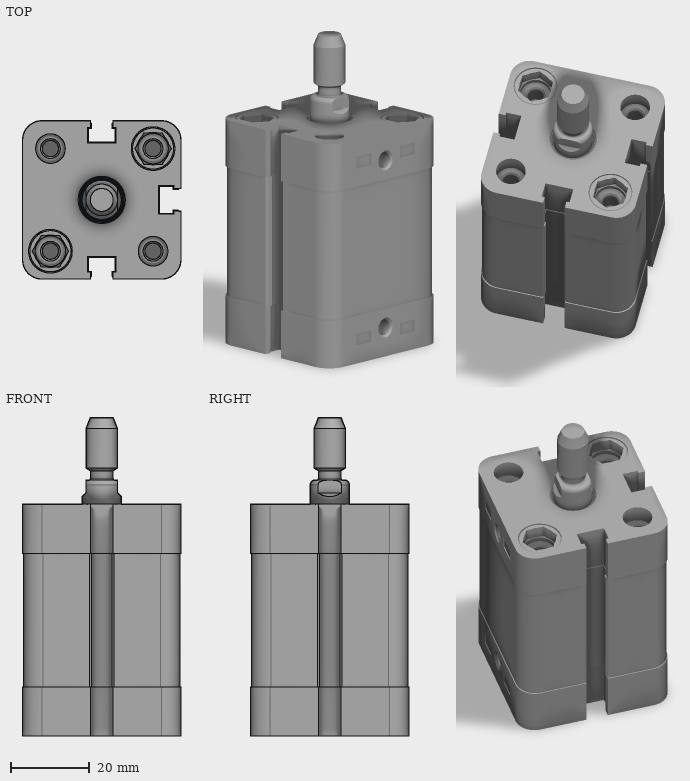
import cadquery as cq
import math


CAP_WIDTH = 40.3
BARREL_INSET = 0.25
CORNER_RADIUS = 5.0
TOTAL_HEIGHT = 81.0
HOUSING_HEIGHT = 59.0
CAP_HEIGHT = 12.5
BARREL_HEIGHT = HOUSING_HEIGHT - 2 * CAP_HEIGHT
BEARING_CAP_BASE = HOUSING_HEIGHT - CAP_HEIGHT

SLOT_MOUTH = 5.7
SLOT_WIDTH = 7.3
SLOT_DEPTH = 5.75
SLOT_LIP = 1.8
BARREL_LIP_CHAMFER = 0.6
SLOT_ANGLES = (0, 90, -90)

PORT_DIAMETER = 4.1
PORT_RIM_DIAMETER = 5.2
PORT_DEPTH = 8.1
PORT_END_DISTANCE = 7.5
LABEL_LENGTH = 5.2
LABEL_HEIGHT = 3.1
LABEL_DEPTH = 0.25
LABEL_OFFSET = 7.85
LABEL_END_DISTANCE = 6.2

MOUNT_OFFSET = 13.05
MOUNT_BORE_DEPTH = 4.45
PLAIN_BORE_DIAMETER = 7.5
THREAD_DIAMETER = 4.1
THREAD_RIM_DIAMETER = 5.0
THREAD_DEPTH = 5.3

SOCKET_FLATS = 8.0
SOCKET_BORE_DIAMETER = 7.8
SOCKET_RELIEF_DIAMETER = 8.3
SOCKET_DEPTH = 3.2
GROOVE_DIAMETER = 11.1
COLLAR_TOP_DIAMETER = 10.45
COLLAR_RECESS = 0.1
GROOVE_DEPTH = 0.4

OPENING_RIM_DIAMETER = 12.0
OPENING_DIAMETER = 11.4
SEAL_RIM_DIAMETER = 10.9
SEAL_DIAMETER = 10.45
OPENING_RIM_DEPTH = 0.3
OPENING_DEPTH = 0.5
SEAL_DEPTH = 1.0

ROD_DIAMETER = 10.0
ROD_SHOULDER_HEIGHT = 6.15
SHOULDER_FILLET = 1.2
FLATS_WIDTH = 8.0
FLATS_HEIGHT = 2.9
NECK_DIAMETER = 5.8
NECK_FILLET = 0.3
ROD_THREAD_DIAMETER = 8.0
ROD_THREAD_LENGTH = 12.8
THREAD_RUNOUT = 0.7
TIP_DIAMETER = 5.8
TIP_HEIGHT = 2.75


def cylinder(diameter, bottom, top):
    return cq.Workplane("XY").workplane(offset=bottom).circle(diameter / 2).extrude(top - bottom)


def cone(bottom_diameter, bottom, top_diameter, top):
    solid = cq.Solid.makeCone(
        bottom_diameter / 2, top_diameter / 2, top - bottom, pnt=cq.Vector(0, 0, bottom)
    )
    return cq.Workplane(solid)


def countersunk_hole(diameter, rim_diameter, depth):
    """Hole cutter that goes down from the origin, with a 45-degree countersink at its mouth."""
    sink = (rim_diameter - diameter) / 2
    return cylinder(diameter, -depth, 0).union(cone(diameter, -sink, rim_diameter, 0))


def slot_profile(face, inset, chamfer):
    """Half-profile points of a T-slot on the side at x = face; inset shrinks the slot's outline."""
    half_mouth = SLOT_MOUTH / 2 - inset
    half_width = SLOT_WIDTH / 2 - inset
    floor = CAP_WIDTH / 2 - SLOT_DEPTH + inset
    lip = CAP_WIDTH / 2 - SLOT_LIP - inset
    mouth = [(face, half_mouth)]
    if chamfer:
        mouth = [(face - chamfer, half_mouth), (face, half_mouth + chamfer)]
    return [(floor, half_width), (lip, half_width), (lip, half_mouth)] + mouth


def slotted_block(inset, height, chamfer=0):
    """Rounded square block with a T-slot along each slotted side."""
    width = CAP_WIDTH - 2 * inset
    block = cq.Workplane("XY").rect(width, width).extrude(height).edges("|Z").fillet(CORNER_RADIUS)
    half = slot_profile(width / 2, inset, chamfer)
    outline = half + [(x, -y) for x, y in reversed(half)]
    slot = cq.Workplane("XY").polyline(outline).close().extrude(height)
    for angle in SLOT_ANGLES:
        block = block.cut(slot.rotate((0, 0, 0), (0, 0, 1), angle))
    return block


def make_ported_cap():
    """Plain cap with its outer end at the top: T-slots, one port and two label recesses."""
    cap = slotted_block(0, CAP_HEIGHT)
    port = countersunk_hole(PORT_DIAMETER, PORT_RIM_DIAMETER, PORT_DEPTH)
    port = port.rotate((0, 0, 0), (0, 1, 0), -90)
    cap = cap.cut(port.translate((-CAP_WIDTH / 2, 0, CAP_HEIGHT - PORT_END_DISTANCE)))
    for side in (-1, 1):
        label = cq.Workplane("XY").box(2 * LABEL_DEPTH, LABEL_LENGTH, LABEL_HEIGHT)
        cap = cap.cut(
            label.translate((-CAP_WIDTH / 2, side * LABEL_OFFSET, CAP_HEIGHT - LABEL_END_DISTANCE))
        )
    return cap


def mount_cutter(bore_diameter):
    """Bore with a countersunk thread hole in its floor."""
    thread = countersunk_hole(THREAD_DIAMETER, THREAD_RIM_DIAMETER, THREAD_DEPTH)
    bore = cylinder(bore_diameter, -MOUNT_BORE_DEPTH, 0)
    return bore.union(thread.translate((0, 0, -MOUNT_BORE_DEPTH)))


def socket_mount_cutter():
    """Mounting bore with a relieved hexagon socket in a collar that a V-groove surrounds."""
    corner_diameter = SOCKET_FLATS / math.cos(math.pi / 6)
    hexagon = cq.Workplane("XY").polygon(6, corner_diameter).extrude(-SOCKET_DEPTH)
    relief = cylinder(SOCKET_RELIEF_DIAMETER, -SOCKET_DEPTH, 0)
    collar = cone(GROOVE_DIAMETER, -GROOVE_DEPTH, COLLAR_TOP_DIAMETER, -COLLAR_RECESS)
    groove = cylinder(GROOVE_DIAMETER, -GROOVE_DEPTH, 0).cut(collar)
    return mount_cutter(SOCKET_BORE_DIAMETER).union(hexagon).union(relief).union(groove)


def make_end_cap():
    return make_ported_cap().mirror("XY").translate((0, 0, CAP_HEIGHT))


def make_barrel():
    barrel = slotted_block(BARREL_INSET, BARREL_HEIGHT, BARREL_LIP_CHAMFER)
    return barrel.translate((0, 0, CAP_HEIGHT))


def make_bearing_cap():
    cap = make_ported_cap().translate((0, 0, BEARING_CAP_BASE))

    top = HOUSING_HEIGHT
    cap = cap.cut(cone(OPENING_DIAMETER, top - OPENING_RIM_DEPTH, OPENING_RIM_DIAMETER, top))
    cap = cap.cut(cylinder(OPENING_DIAMETER, top - OPENING_DEPTH, top))
    cap = cap.cut(cone(SEAL_DIAMETER, top - SEAL_DEPTH, SEAL_RIM_DIAMETER, top - OPENING_DEPTH))
    cap = cap.cut(cylinder(ROD_DIAMETER, BEARING_CAP_BASE, top))

    for x_side in (-1, 1):
        for y_side in (-1, 1):
            cutter = socket_mount_cutter() if x_side == y_side else mount_cutter(PLAIN_BORE_DIAMETER)
            cap = cap.cut(cutter.translate((x_side * MOUNT_OFFSET, y_side * MOUNT_OFFSET, top)))
    return cap


def make_piston_rod():
    """Turned rod with a threaded end, a thread undercut and two spanner flats."""
    rod_radius = ROD_DIAMETER / 2
    neck_radius = NECK_DIAMETER / 2
    thread_radius = ROD_THREAD_DIAMETER / 2
    shoulder = HOUSING_HEIGHT + ROD_SHOULDER_HEIGHT
    thread_bottom = TOTAL_HEIGHT - ROD_THREAD_LENGTH
    quarter = math.sqrt(0.5)
    fillet_center = (rod_radius - SHOULDER_FILLET, shoulder - SHOULDER_FILLET)
    neck_center = (neck_radius + NECK_FILLET, shoulder + NECK_FILLET)
    profile = (
        cq.Workplane("XZ")
        .moveTo(0, BEARING_CAP_BASE)
        .lineTo(rod_radius, BEARING_CAP_BASE)
        .lineTo(rod_radius, fillet_center[1])
        .threePointArc(
            (fillet_center[0] + SHOULDER_FILLET * quarter, fillet_center[1] + SHOULDER_FILLET * quarter),
            (fillet_center[0], shoulder),
        )
        .lineTo(neck_center[0], shoulder)
        .threePointArc(
            (neck_center[0] - NECK_FILLET * quarter, neck_center[1] - NECK_FILLET * quarter),
            (neck_radius, neck_center[1]),
        )
        .lineTo(neck_radius, thread_bottom - THREAD_RUNOUT)
        .lineTo(thread_radius, thread_bottom)
        .lineTo(thread_radius, TOTAL_HEIGHT - TIP_HEIGHT)
        .lineTo(TIP_DIAMETER / 2, TOTAL_HEIGHT)
        .lineTo(0, TOTAL_HEIGHT)
        .close()
    )
    rod = profile.revolve(360, (0, 0, 0), (0, 1, 0))

    half_flats = FLATS_WIDTH / 2
    flats_bottom = HOUSING_HEIGHT + FLATS_HEIGHT
    runout = ROD_DIAMETER - half_flats
    flat = (
        cq.Workplane("XZ")
        .polyline([
            (half_flats, shoulder),
            (half_flats, flats_bottom),
            (ROD_DIAMETER, flats_bottom - runout),
            (ROD_DIAMETER, shoulder),
        ])
        .close()
        .extrude(rod_radius, both=True)
    )
    return rod.cut(flat).cut(flat.mirror("YZ"))


end_cap = make_end_cap()
barrel = make_barrel()
bearing_cap = make_bearing_cap()
piston_rod = make_piston_rod()

result = cq.Compound.makeCompound([end_cap.val(), barrel.val(), bearing_cap.val(), piston_rod.val()])